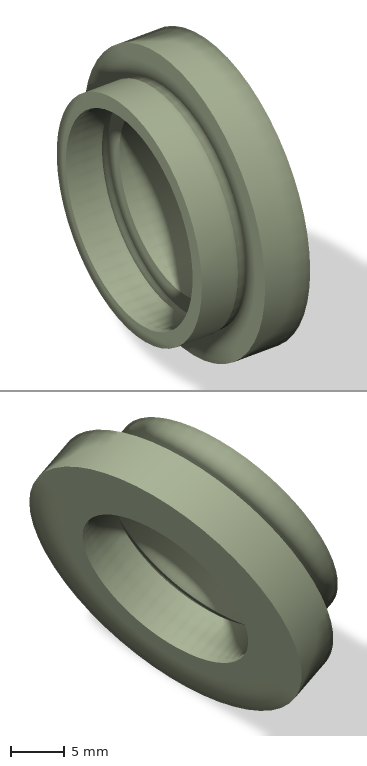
import cadquery as cq

flange_diameter = 31.75
total_length = 10.0
flange_thickness = total_length / 2
spigot_diameter = 25.4
relief_diameter = 25.15
relief_width = total_length / 10
bore_diameter = 19.3
counterbore_diameter = 22.15
counterbore_depth = flange_thickness
undercut_diameter = 23.1
undercut_width = relief_width

back_face = total_length / 2
front_face = -total_length / 2
flange_face = back_face - flange_thickness


def cylinder(diameter, start, length):
    """Cylinder along +Y, beginning at Y = start."""
    return cq.Workplane("XZ", origin=(0, start, 0)).circle(diameter / 2).extrude(-length)


flange = cylinder(flange_diameter, flange_face, flange_thickness)
relief = cylinder(relief_diameter, flange_face - relief_width, relief_width)
spigot = cylinder(spigot_diameter, front_face, total_length - flange_thickness - relief_width)
bore = cylinder(bore_diameter, front_face, total_length)
counterbore = cylinder(counterbore_diameter, front_face, counterbore_depth)
undercut = cylinder(undercut_diameter, front_face + counterbore_depth - undercut_width, undercut_width)

result = flange.union(relief).union(spigot).cut(bore).cut(counterbore).cut(undercut)